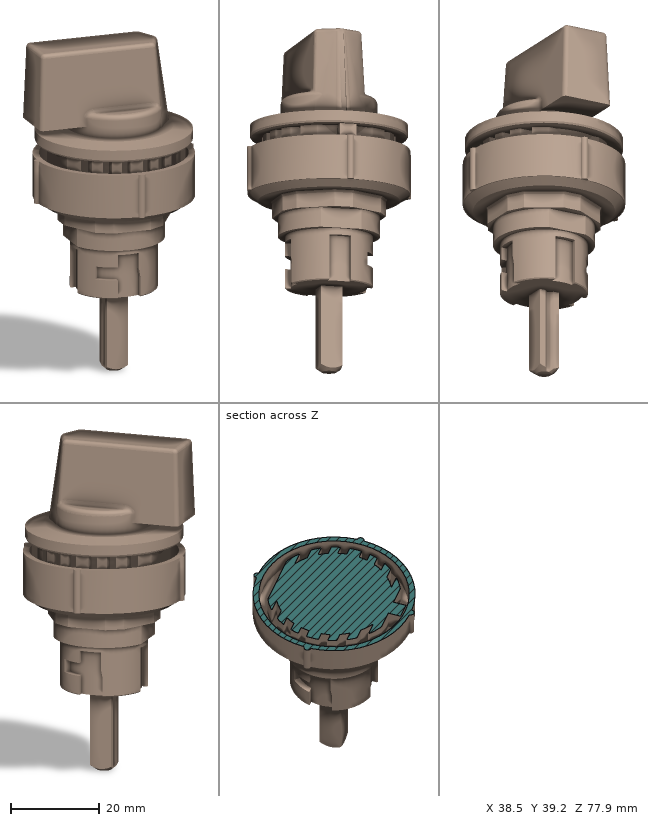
import cadquery as cq
import math

BARREL_BOTTOM = 19.45
COLLAR_BOTTOM = 31.4
HEX_BOTTOM = 35.9
HEX_TOP = 39.15
RING_BOTTOM = 39.7
RING_TAPER_TOP = 41.2
RING_TOP = 51.3
FLANGE_BOTTOM = 54.3
FLANGE_TOP = 57.9
OVERHANG_BOTTOM = 60.0
HUB_TOP = 63.2
TOP = 77.85

SHAFT_SIDE = 5.05
SHAFT_TIP_RADIUS = 1.7
SHAFT_TIP_HEIGHT = 1.285
GROOVE_MOUTH = 2.2
GROOVE_FLOOR = 0.6
GROOVE_DEPTH = (GROOVE_MOUTH - GROOVE_FLOOR) / 2

BARREL_RADIUS = 20.0 / 2
BARREL_CHAMFER = 0.2
KEYWAY_FLOOR_RADIUS = 8.65
KEYWAY_WIDTH = 5.1
KEYWAY_TOP = 29.9
LEAD_IN_WIDENING = 0.35
LEAD_IN_TOP = 26.0
LEAD_IN_BOTTOM = 24.1
BRANCH_BOTTOM = 23.9
BRANCH_TOP = 26.9
BRANCH_ANGLE = 45.0

COLLAR_RADIUS = 11.6
COLLAR_ACROSS_FLATS = 21.2
HEX_ACROSS_FLATS = 24.3
HEX_ACROSS_CORNERS = 25.5
NUT_FLARE_ANGLE = 30.0

RING_RADIUS = 18.45
RING_TAPER_RADIUS = 18.2
RING_BOTTOM_RADIUS = 16.1
RING_INNER_RADIUS = 34.0 / 2
RING_FLOOR = 42.8
RIB_REACH = 38.45 / 2
RIB_RADIUS = 0.85

CORE_RADIUS = 15.2
CORE_ACROSS_FLATS = 27.4
NOTCH_FLOOR_RADIUS = 13.2
NOTCH_WIDTH = 1.95
NOTCH_PITCH = 4.05
NOTCH_FIRST = 2.5
NOTCHES_PER_QUARTER = 3
FLARE_BOTTOM = 51.8
FLARE_TOP_RADIUS = 29.0 / 2
KEY_WIDTH = 3.9
KEY_REACH = 16.65

FLANGE_RADIUS = 36.0 / 2
FLANGE_UNDERSIDE_RADIUS = 35.5 / 2
FLANGE_CHAMFER_TOP = 54.7
FLANGE_EDGE_TOP = 57.05
FLANGE_FLAT_RADIUS = 13.55

HUB_RADIUS = 11.0
HUB_ROUNDING = 1.2
HUB_HANDLE_FILLET = 0.85
HANDLE_ROUNDING = 0.9
MARK_WIDTH = 1.25
MARK_BASE_REACH = 12.5
MARK_TOP_REACH = 10.05


def cylinder(radius, bottom, top):
    return cq.Workplane("XY").workplane(offset=bottom).circle(radius).extrude(top - bottom)


def block(size_x, size_y, bottom, top):
    return cq.Workplane("XY").workplane(offset=bottom).rect(size_x, size_y).extrude(top - bottom)


def revolved(profile):
    """Turn a closed profile of (radius, height) points about the vertical axis."""
    return cq.Workplane("XZ").polyline(profile).close().revolve(360, (0, 0), (0, 1))


def about_axis(shape, angle):
    return shape.rotate((0, 0, 0), (0, 0, 1), angle)


def make_shaft():
    half = SHAFT_SIDE / 2
    shaft = block(SHAFT_SIDE, SHAFT_SIDE, 0, BARREL_BOTTOM + 0.8)
    corner_radius = half * math.sqrt(2)
    envelope = revolved([
        (0, 0),
        (SHAFT_TIP_RADIUS, 0),
        (corner_radius, SHAFT_TIP_HEIGHT),
        (corner_radius, BARREL_BOTTOM + 0.8),
        (0, BARREL_BOTTOM + 0.8),
    ])
    groove = (
        cq.Workplane("XY")
        .polyline([
            (-GROOVE_MOUTH / 2, -half),
            (-GROOVE_FLOOR / 2, GROOVE_DEPTH - half),
            (GROOVE_FLOOR / 2, GROOVE_DEPTH - half),
            (GROOVE_MOUTH / 2, -half),
        ])
        .close()
        .extrude(BARREL_BOTTOM)
    )
    return shaft.intersect(envelope).cut(groove)


def make_keyway():
    """Straight keyway on the -Y side, open at the bottom."""
    depth = BARREL_RADIUS - KEYWAY_FLOOR_RADIUS * 0.9
    return block(KEYWAY_WIDTH, 2 * depth, BARREL_BOTTOM, KEYWAY_TOP).translate((0, -BARREL_RADIUS, 0))


def make_bayonet_keyway():
    """Keyway on the -X side with a lead-in towards -Y and a branch towards +Y."""
    half = KEYWAY_WIDTH / 2
    slot = (
        cq.Workplane("YZ")
        .polyline([
            (half, BARREL_BOTTOM),
            (half, KEYWAY_TOP),
            (-half, KEYWAY_TOP),
            (-half, LEAD_IN_TOP),
            (-half - LEAD_IN_WIDENING, LEAD_IN_BOTTOM),
            (-half - LEAD_IN_WIDENING, BARREL_BOTTOM),
        ])
        .close()
        .extrude(-BARREL_RADIUS)
    )
    reach = 2 * BARREL_RADIUS
    end_angle = math.radians(BRANCH_ANGLE)
    branch = (
        cq.Workplane("XY")
        .workplane(offset=BRANCH_BOTTOM)
        .polyline([
            (0, 0),
            (-reach, 0),
            (-reach * math.cos(end_angle), reach * math.sin(end_angle)),
        ])
        .close()
        .extrude(BRANCH_TOP - BRANCH_BOTTOM)
    )
    return slot.union(branch)


def make_barrel():
    barrel = cylinder(BARREL_RADIUS, BARREL_BOTTOM, COLLAR_BOTTOM).faces("<Z").chamfer(BARREL_CHAMFER)
    cuts = make_keyway().union(make_bayonet_keyway())
    cuts = cuts.cut(cylinder(KEYWAY_FLOOR_RADIUS, BARREL_BOTTOM, COLLAR_BOTTOM))
    return barrel.cut(cuts).cut(about_axis(cuts, 180))


def make_collar():
    flats = block(2 * COLLAR_RADIUS, COLLAR_ACROSS_FLATS, COLLAR_BOTTOM, HEX_BOTTOM)
    return cylinder(COLLAR_RADIUS, COLLAR_BOTTOM, HEX_BOTTOM).intersect(flats)


def hexagon(across_flats):
    """Hexagonal prism at nut height with two corners on the X axis."""
    diameter = across_flats / math.cos(math.radians(30))
    plane = cq.Workplane("XY").workplane(offset=HEX_BOTTOM)
    return plane.polygon(6, diameter).extrude(HEX_TOP - HEX_BOTTOM)


def make_nut():
    nut = about_axis(hexagon(HEX_ACROSS_FLATS), 30).intersect(hexagon(HEX_ACROSS_CORNERS))
    flare = nut.faces(">Z").wires().toPending().extrude(RING_BOTTOM - HEX_TOP, taper=-NUT_FLARE_ANGLE)
    return nut.union(flare)


def make_ring():
    ring = revolved([
        (0, RING_BOTTOM),
        (RING_BOTTOM_RADIUS, RING_BOTTOM),
        (RING_TAPER_RADIUS, RING_TAPER_TOP),
        (RING_RADIUS, RING_TAPER_TOP),
        (RING_RADIUS, RING_TOP),
        (RING_INNER_RADIUS, RING_TOP),
        (RING_INNER_RADIUS, RING_FLOOR),
        (0, RING_FLOOR),
    ])
    rib = cylinder(RIB_RADIUS, RING_TAPER_TOP, RING_TOP).translate((RIB_REACH - RIB_RADIUS, 0, 0))
    for quarter in range(4):
        ring = ring.union(about_axis(rib, 90 * quarter))
    return ring


def make_core():
    core = cylinder(CORE_RADIUS, RING_FLOOR, FLANGE_BOTTOM)
    core = core.intersect(block(2 * CORE_RADIUS, CORE_ACROSS_FLATS, RING_FLOOR, FLANGE_BOTTOM))
    flare = revolved([
        (0, FLARE_BOTTOM),
        (CORE_ACROSS_FLATS / 2, FLARE_BOTTOM),
        (FLARE_TOP_RADIUS, FLANGE_BOTTOM),
        (0, FLANGE_BOTTOM),
    ])
    core = core.union(flare)
    kept = cylinder(NOTCH_FLOOR_RADIUS, RING_FLOOR, FLANGE_BOTTOM)
    for step in range(NOTCHES_PER_QUARTER):
        offset = NOTCH_FIRST + NOTCH_PITCH * step
        for side in (-1, 1):
            notch = block(2 * FLANGE_RADIUS, NOTCH_WIDTH, RING_FLOOR, FLANGE_BOTTOM)
            core = core.cut(notch.translate((0, side * offset, 0)).cut(kept))
    key = block(KEY_WIDTH, KEY_REACH, RING_FLOOR, FLANGE_BOTTOM).translate((0, KEY_REACH / 2, 0))
    return core.union(key)


def make_flange():
    return revolved([
        (0, FLANGE_BOTTOM),
        (FLANGE_UNDERSIDE_RADIUS, FLANGE_BOTTOM),
        (FLANGE_RADIUS, FLANGE_CHAMFER_TOP),
        (FLANGE_RADIUS, FLANGE_EDGE_TOP),
        (FLANGE_FLAT_RADIUS, FLANGE_TOP),
        (0, FLANGE_TOP),
    ])


def handle_outline(plane, half_width, back, shoulder, nose_half_width, nose_side, nose_tip):
    """Handle cross-section: a straight back at -Y and a rounded pointer at +Y."""
    return (
        plane.moveTo(-half_width, -back)
        .lineTo(half_width, -back)
        .lineTo(half_width, shoulder)
        .lineTo(nose_half_width, nose_side)
        .threePointArc((0, nose_tip), (-nose_half_width, nose_side))
        .lineTo(-half_width, shoulder)
        .close()
    )


def make_handle():
    base = handle_outline(
        cq.Workplane("XY").workplane(offset=FLANGE_TOP),
        half_width=6.3, back=20.0, shoulder=9.2, nose_half_width=1.8, nose_side=12.4, nose_tip=13.15,
    )
    handle = handle_outline(
        base.workplane(offset=TOP - FLANGE_TOP),
        half_width=5.5, back=19.4, shoulder=7.95, nose_half_width=1.1, nose_side=10.0, nose_tip=10.3,
    ).loft(ruled=True)
    corners = cq.selectors.BoxSelector((-7, -23.35, 62.3), (7, 10.5, 73.95))
    handle = handle.edges(corners).fillet(HANDLE_ROUNDING)
    handle = handle.faces(">Z").edges().fillet(HANDLE_ROUNDING)
    mark = (
        cq.Workplane("YZ")
        .polyline([
            (MARK_BASE_REACH, FLANGE_TOP),
            (MARK_TOP_REACH, TOP),
            (MARK_BASE_REACH + 1.55, TOP),
            (MARK_BASE_REACH + 1.55, FLANGE_TOP),
        ])
        .close()
        .extrude(MARK_WIDTH / 2, both=True)
    )
    under = block(23.35, 23.35, FLANGE_TOP, OVERHANG_BOTTOM).translate((0, -11.7, 0))
    return handle.cut(mark).cut(under)


def make_knob():
    hub = cylinder(HUB_RADIUS, FLANGE_TOP, HUB_TOP).faces(">Z").edges().fillet(HUB_ROUNDING)
    knob = make_handle().union(hub)
    seams = cq.selectors.BoxSelector((-7, -0.8, HUB_TOP - 0.1), (7, 0.8, HUB_TOP + 0.1))
    knob = knob.edges(seams).fillet(HUB_HANDLE_FILLET)
    return knob


result = (
    make_shaft()
    .union(make_barrel())
    .union(make_collar())
    .union(make_nut())
    .union(make_ring())
    .union(make_core())
    .union(make_flange())
    .union(make_knob())
)